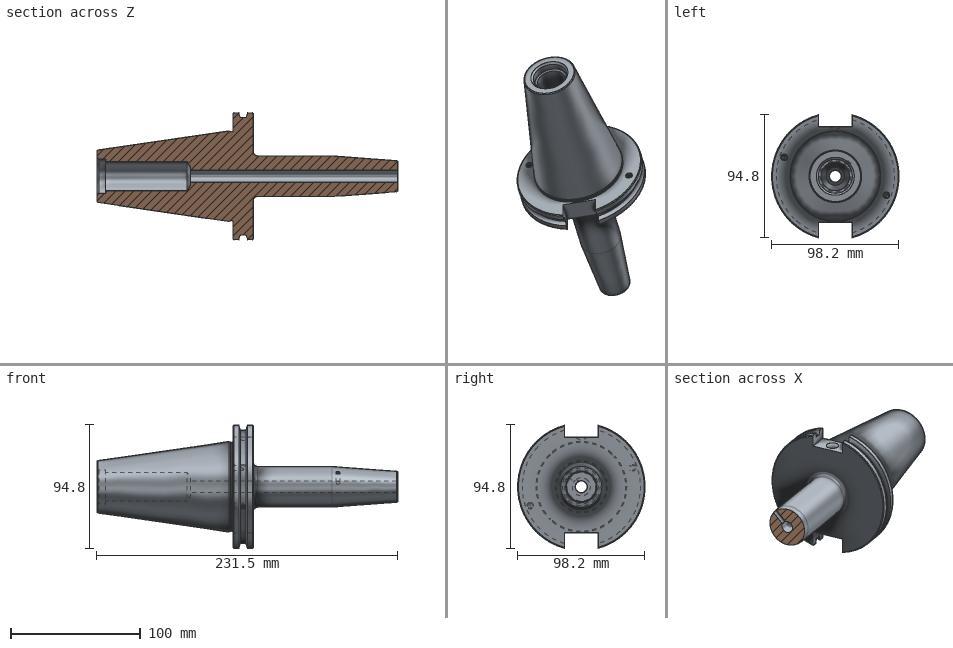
import cadquery as cq
import math

taper_length = 101.7
flange_start = 104.7
flange_end = 120.5
neck_end = 180.9
total_length = 231.5

gauge_diameter = 70.0
taper_ratio = 7 / 24
taper_end_diameter = gauge_diameter - taper_length * taper_ratio
taper_chamfer = 0.7
collar_diameter = 69.0
relief_diameter = 68.3
relief_start = 102.8
relief_end = 104.0

flange_diameter = 98.2
flange_chamfer = 0.7
groove_center = 112.5
groove_mouth_width = 6.7
groove_floor_width = 4.5
groove_floor_diameter = 91.0

slot_width = 25.7
upper_slot_floor = 38.2
lower_slot_floor = 35.5

neck_diameter = 31.5
neck_fillet = 3.2
tip_diameter = 24.0
tip_chamfer = 1.2
tip_chamfer_depth = 0.58

through_diameter = 9.0
mouth_diameter = 29.2
thread_diameter = 26.2
thread_depth = 6.7
mouth_chamfer = (mouth_diameter - thread_diameter) / 2
bore_diameter = 22.0
bore_depth = 69.5
drill_cone_end_diameter = 14.0
drill_point_angle = 118.0
drill_cone_step = (bore_diameter - drill_cone_end_diameter) / 2
drill_cone_length = drill_cone_step / math.tan(math.radians(drill_point_angle / 2))

dimple_diameter = 9.5
dimple_depth = 2.8
coolant_angle = 20.3
coolant_circle_radius = 42.0
coolant_mouth_diameter = 5.0
coolant_mouth_depth = 1.2
coolant_diameter = 4.0
groove_hole_diameter = 3.2
nose_hole_x = 185.5
nose_hole_diameter = 3.0
nose_hole_angle = 45.0


def revolve_about_x(profile):
    return profile.close().revolve(360, (0, 0, 0), (1, 0, 0))


def radial_cylinder(x, y, z, diameter, length):
    """Cylinder running from the X axis outwards along the direction (y, z)."""
    plane = cq.Plane(origin=(x, 0, 0), xDir=(1, 0, 0), normal=(0, y, z))
    return cq.Workplane(plane).circle(diameter / 2).extrude(length)


def axial_cylinder(x, y, z, diameter, length):
    return cq.Workplane("YZ", origin=(x, y, z)).circle(diameter / 2).extrude(length)


def make_body():
    flange_radius = flange_diameter / 2
    neck_radius = neck_diameter / 2
    fillet_offset = neck_fillet * (1 - math.sqrt(0.5))
    profile = (
        cq.Workplane("XY")
        .lineTo(0, taper_end_diameter / 2 - taper_chamfer)
        .lineTo(taper_chamfer, taper_end_diameter / 2 + taper_chamfer * taper_ratio / 2)
        .lineTo(taper_length, gauge_diameter / 2)
        .lineTo(taper_length, collar_diameter / 2)
        .lineTo(relief_start, collar_diameter / 2)
        .lineTo(relief_start, relief_diameter / 2)
        .lineTo(relief_end, relief_diameter / 2)
        .lineTo(relief_end, collar_diameter / 2)
        .lineTo(flange_start, collar_diameter / 2)
        .lineTo(flange_start, flange_radius - flange_chamfer)
        .lineTo(flange_start + flange_chamfer, flange_radius)
        .lineTo(groove_center - groove_mouth_width / 2, flange_radius)
        .lineTo(groove_center - groove_floor_width / 2, groove_floor_diameter / 2)
        .lineTo(groove_center + groove_floor_width / 2, groove_floor_diameter / 2)
        .lineTo(groove_center + groove_mouth_width / 2, flange_radius)
        .lineTo(flange_end - flange_chamfer, flange_radius)
        .lineTo(flange_end, flange_radius - flange_chamfer)
        .lineTo(flange_end, neck_radius + neck_fillet)
        .threePointArc(
            (flange_end + fillet_offset, neck_radius + fillet_offset),
            (flange_end + neck_fillet, neck_radius),
        )
        .lineTo(neck_end, neck_radius)
        .lineTo(total_length - tip_chamfer, tip_diameter / 2)
        .lineTo(total_length, tip_diameter / 2 - tip_chamfer_depth)
        .lineTo(total_length, 0)
    )
    return revolve_about_x(profile)


def make_bore():
    cone_end = bore_depth + drill_cone_length
    profile = (
        cq.Workplane("XY")
        .lineTo(0, mouth_diameter / 2)
        .lineTo(mouth_chamfer, thread_diameter / 2)
        .lineTo(thread_depth, thread_diameter / 2)
        .lineTo(thread_depth, bore_diameter / 2)
        .lineTo(bore_depth, bore_diameter / 2)
        .lineTo(cone_end, drill_cone_end_diameter / 2)
        .lineTo(cone_end, through_diameter / 2)
        .lineTo(total_length, through_diameter / 2)
        .lineTo(total_length, 0)
    )
    return revolve_about_x(profile)


def make_drive_slot(side, floor):
    """Slot through the flange; side is +1 for +Z or -1 for -Z."""
    height = flange_diameter / 2
    flange_width = flange_end - flange_start
    center = ((flange_start + flange_end) / 2, 0, side * (floor + height / 2))
    return cq.Workplane("XY").box(flange_width, slot_width, height).translate(center)


def make_dimple():
    """Conical dimple in the floor of the upper drive slot."""
    cone = cq.Solid.makeCone(
        0,
        dimple_diameter / 2,
        dimple_depth,
        pnt=cq.Vector(groove_center, 0, upper_slot_floor - dimple_depth),
    )
    return cq.Workplane(cone)


def make_coolant_holes(side):
    """Axial hole in the flange face meeting a radial hole in the groove."""
    y = side * math.cos(math.radians(coolant_angle))
    z = side * math.sin(math.radians(coolant_angle))
    hole_y = y * coolant_circle_radius
    hole_z = z * coolant_circle_radius
    mouth = axial_cylinder(flange_start, hole_y, hole_z, coolant_mouth_diameter, coolant_mouth_depth)
    channel_length = groove_center - flange_start
    channel = axial_cylinder(flange_start, hole_y, hole_z, coolant_diameter, channel_length)
    outlet = radial_cylinder(groove_center, y, z, groove_hole_diameter, flange_diameter / 2)
    core = axial_cylinder(flange_start, 0, 0, 2 * coolant_circle_radius, flange_end - flange_start)
    return mouth.union(channel).union(outlet.cut(core))


def make_nose_hole():
    """Radial hole from the nose surface into the bore, on the -Y, +Z side."""
    y = -math.cos(math.radians(nose_hole_angle))
    z = math.sin(math.radians(nose_hole_angle))
    return radial_cylinder(nose_hole_x, y, z, nose_hole_diameter, neck_diameter)


result = make_body().cut(make_bore())
result = result.cut(make_drive_slot(1, upper_slot_floor))
result = result.cut(make_drive_slot(-1, lower_slot_floor))
result = result.cut(make_dimple())
for coolant_side in (1, -1):
    result = result.cut(make_coolant_holes(coolant_side))
result = result.cut(make_nose_hole())